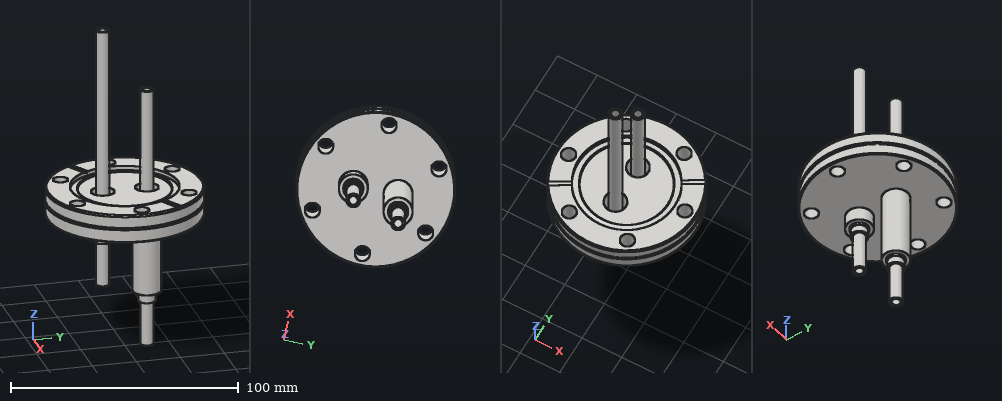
import cadquery as cq
import math

flange_diameter = 69.9
flange_thickness = 13.0
flange_radius = flange_diameter / 2
rim_chamfer_width = 0.5
rim_chamfer_height = 0.9
bottom_chamfer = 0.5
rim_groove_bottom = 6.0
rim_groove_height = 0.9
rim_groove_depth = 0.5

recess_diameter = 48.3
recess_depth = 2.0
knife_diameter = 42.0
knife_depth = 1.0
floor_depth = 1.5
floor_diameter = 41.4

bolt_count = 6
bolt_hole_diameter = 6.6
bolt_circle_diameter = 58.6
leak_groove_angle = 30
leak_groove_width = 2.0
leak_groove_depth = 0.6

overall_height = 150.0
tube_length = 120.0
feedthrough_shift = overall_height - tube_length
feedthrough_offset = 10.0
tube_diameter = 6.0
tube_bore_diameter = 4.0
front_tube_rise = 74.7
sleeve_diameter = 12.8
sleeve_bore_diameter = 10.4
sleeve_end_wall = 0.9
front_sleeve_length = 7.2
collar_diameter = 7.8
collar_length = 4.6
collar_root_diameter = 8.8
collar_root_height = 0.9

front_tube_top = flange_thickness + front_tube_rise
front_tube_bottom = front_tube_top - tube_length
rear_tube_bottom = front_tube_top - overall_height
rear_sleeve_length = front_sleeve_length + feedthrough_shift


def cylinder(diameter, bottom, top, y):
    return cq.Workplane("XY", origin=(0, y, bottom)).circle(diameter / 2).extrude(top - bottom)


def make_flange():
    """Revolve the rim, its groove and the stepped sealing recess as one profile."""
    top = flange_thickness
    groove_top = rim_groove_bottom + rim_groove_height
    groove_radius = flange_radius - rim_groove_depth
    profile = [
        (0, 0),
        (flange_radius - bottom_chamfer, 0),
        (flange_radius, bottom_chamfer),
        (flange_radius, rim_groove_bottom),
        (groove_radius, rim_groove_bottom),
        (groove_radius, groove_top),
        (flange_radius, groove_top),
        (flange_radius, top - rim_chamfer_height),
        (flange_radius - rim_chamfer_width, top),
        (recess_diameter / 2, top),
        (recess_diameter / 2, top - recess_depth),
        (knife_diameter / 2, top - knife_depth),
        (floor_diameter / 2, top - floor_depth),
        (0, top - floor_depth),
    ]
    return cq.Workplane("XZ").polyline(profile).close().revolve(360, (0, 0), (0, 1))


def make_bolt_holes():
    return (
        cq.Workplane("XY")
        .polarArray(bolt_circle_diameter / 2, 0, 360, bolt_count)
        .circle(bolt_hole_diameter / 2)
        .extrude(flange_thickness)
    )


def make_leak_groove(angle):
    """Round-bottomed radial groove from the sealing recess out through the rim."""
    groove_radius = ((leak_groove_width / 2) ** 2 + leak_groove_depth**2) / (2 * leak_groove_depth)
    axis_height = flange_thickness - leak_groove_depth + groove_radius
    start = recess_diameter / 2 * math.cos(math.asin(leak_groove_width / recess_diameter))
    return (
        cq.Workplane("YZ", origin=(start, 0, axis_height))
        .circle(groove_radius)
        .extrude(flange_radius - start)
        .rotate((0, 0, 0), (0, 0, 1), angle)
    )


def add_feedthrough(body, y, sleeve_length, tube_bottom):
    """Hang a hollow sleeve below the flange and hold a tube in the collar at its end."""
    sleeve_bottom = -sleeve_length
    root_bottom = sleeve_bottom - collar_root_height
    collar_bottom = sleeve_bottom - collar_length
    tube_top = tube_bottom + tube_length
    collar_root = (
        cq.Workplane("XY", origin=(0, y, sleeve_bottom))
        .circle(collar_root_diameter / 2)
        .workplane(offset=-collar_root_height)
        .circle(collar_diameter / 2)
        .loft()
    )
    return (
        body.union(cylinder(sleeve_diameter, sleeve_bottom, 0, y))
        .cut(cylinder(sleeve_bore_diameter, sleeve_bottom + sleeve_end_wall, flange_thickness, y))
        .union(collar_root)
        .union(cylinder(collar_diameter, collar_bottom, root_bottom, y))
        .union(cylinder(tube_diameter, tube_bottom, tube_top, y))
        .cut(cylinder(tube_bore_diameter, tube_bottom, tube_top, y))
    )


result = make_flange().cut(make_bolt_holes())
for groove_angle in (leak_groove_angle, leak_groove_angle + 180):
    result = result.cut(make_leak_groove(groove_angle))
result = add_feedthrough(result, -feedthrough_offset, front_sleeve_length, front_tube_bottom)
result = add_feedthrough(result, feedthrough_offset, rear_sleeve_length, rear_tube_bottom)